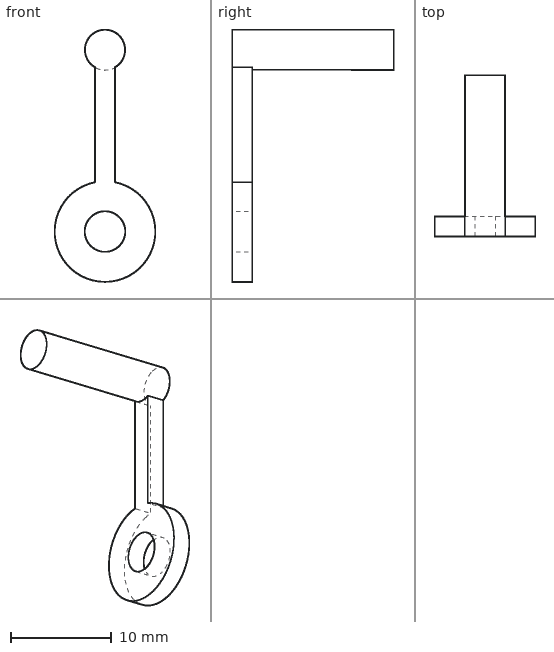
import cadquery as cq

total_height = 25.0
ring_diameter = 10.0
hole_diameter = 4.0
pin_diameter = 4.0
pin_length = 16.0
plate_thickness = 2.0
arm_width = 2.0

pin_height = total_height - ring_diameter / 2 - pin_diameter / 2


def cylinder_along_y(diameter, length, height):
    """Cylinder from the front face (Y = 0) toward +Y, centred at the given Z."""
    return cq.Workplane("XZ").center(0, height).circle(diameter / 2).extrude(-length)


ring = cylinder_along_y(ring_diameter, plate_thickness, 0)
pin = cylinder_along_y(pin_diameter, pin_length, pin_height)
hole = cylinder_along_y(hole_diameter, plate_thickness, 0)

arm = cq.Workplane("XY").box(
    arm_width, plate_thickness, pin_height, centered=(True, False, False)
)

result = ring.union(arm).union(pin).cut(hole)